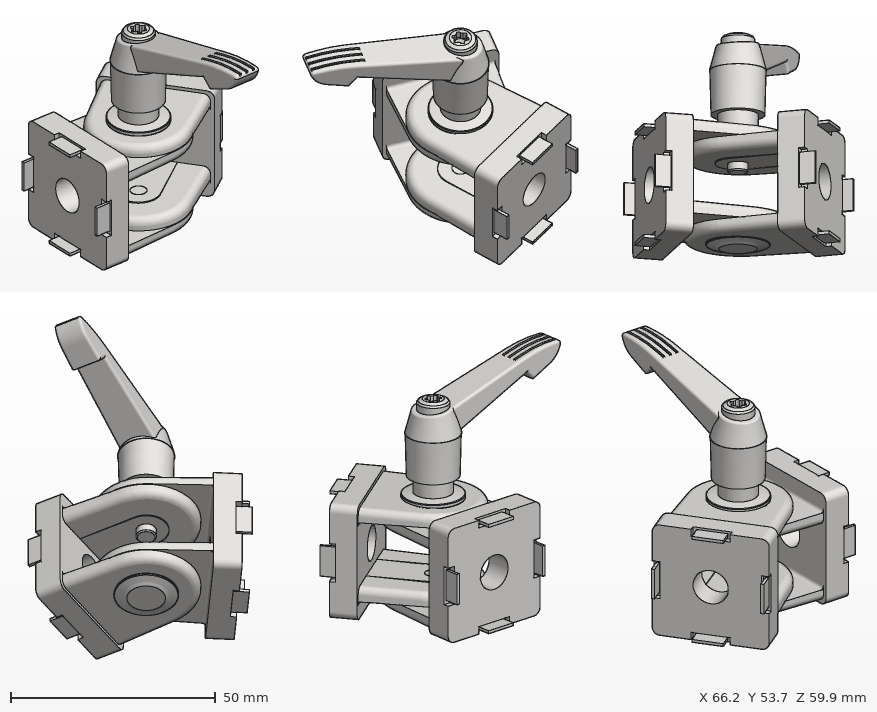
import cadquery as cq
import math


HINGE_ANGLE = 35.0
MATING_HEIGHT = 10.5
LUG_GAP = 0.2
UPPER_MATING_PLANE = MATING_HEIGHT - LUG_GAP
LOWER_MATING_PLANE = -MATING_HEIGHT
STUD_DIAMETER = 5.0
PIN_DIAMETER = 4.2

PLATE_SIZE = 30.0
PLATE_INNER = 15.5
PLATE_OUTER = 22.5
PLATE_CORNER = 2.0
PLATE_BORE = 9.0
PLATE_RISE = 0.25

TAB_END = 25.0
TAB_WIDTH = 8.0
TAB_THICKNESS = 0.8
TAB_INSET = 1.0
POCKET_WIDTH = 10.0
POCKET_BREADTH = 2 * TAB_INSET
POCKET_DEPTH = 1.5

LUG_RADIUS = 13.4
LUG_ROOT_HALF_WIDTH = 13.95
LUG_DRAFT = 0.45
UPPER_LUG_ROOT = 3.6
LOWER_LUG_ROOT = 3.3
LUG_FILLET = 1.9
ROOT_FILLET = 0.9
STRIP_WIDTH = 11.2

FLANGE_DIAMETER = 15.9
FLANGE_CHAMFER = 0.2
SEAT_HEIGHT = MATING_HEIGHT + 2.85
WASHER_RIM = 1.05
WASHER_HEIGHT = 1.45
HEAD_RIM = 0.45
CROWN_DIAMETER = 11.2
CROWN_HEIGHT = 1.0
HEAD_FACE_DIAMETER = 9.4
HEAD_HEIGHT = 1.4
PIN_TIP = -6.7

STUD_BOTTOM = 4.55
STUD_CHAMFER = 0.3
NECK_DIAMETER = 10.0
NECK_TOP = 29.1

HUB_BOTTOM = 19.1
HUB_RIDGE = 30.25
HUB_BOTTOM_DIAMETER = 13.25
HUB_WALL_TOP_DIAMETER = 13.75
HUB_RIDGE_DIAMETER = 14.0
HUB_TOP = 37.0
HUB_TOP_SLOPE = 8.4
HUB_CONE_TOP = 39.7
HUB_CONE_TOP_DIAMETER = 9.0
HUB_TOP_FILLET = 0.5

ARM_TIP = 40.05
ARM_TOP = 44.6
ARM_TOP_SLOPE = 13.6
BEND_X, BEND_Z = 28.25, 43.55
TIP_CORNER = 0.85
TIP_ARC = (38.6, 41.0)
TIP_ARC_END = (35.9, 39.2)
HEEL = (30.45, 36.9)
NOTCH = (28.1, 39.3)
UNDERSIDE_START = (0.65, 29.05)
ARM_REAR = 5.35
ARM_FRONT_AT_AXIS = 4.8
ARM_TAPER = 3.9
ARM_RIM_FILLET = 0.7

GROOVE_COUNT = 3
GROOVE_PITCH = 2.05
GROOVE_WIDTH = 0.65
GROOVE_DEPTH = 0.45
GROOVE_START = 25.7
GROOVE_END = 39.6
GROOVE_MIDDLE_Y = 1.1
GROOVE_SKEW = 2.4

SCREW_HEAD_DIAMETER = 8.2
SCREW_SEAT = 35.1
SCREW_WALL_TOP = 38.25
SCREW_SHOULDER_DIAMETER = 7.5
SCREW_SHOULDER = 38.8
SCREW_FACE_DIAMETER = 5.4
SCREW_TOP = 39.25
SCREW_SHANK = 4.2
SCREW_END = 23.8
LOBE_COUNT = 6
LOBE_CIRCLE = 3.2
LOBE_DIAMETER = 1.0
SOCKET_CORE = 3.2
SOCKET_DEPTH = 2.0


def cylinder(diameter, bottom, top):
    """Cylinder on the hinge axis."""
    return cq.Workplane("XY").workplane(offset=bottom).circle(diameter / 2).extrude(top - bottom)


def turned(profile):
    """Body of revolution about Z from (radius, height) points."""
    return cq.Workplane("XZ").polyline(profile).close().revolve(360, (0, 0), (0, 1))



def bracket_plate():
    plate = (
        cq.Workplane("XZ", origin=(0, -PLATE_INNER, PLATE_RISE))
        .rect(PLATE_SIZE, PLATE_SIZE)
        .extrude(PLATE_OUTER - PLATE_INNER)
        .edges("|Y").fillet(PLATE_CORNER)
    )
    bore = (
        cq.Workplane("XZ", origin=(0, -PLATE_INNER, PLATE_RISE))
        .circle(PLATE_BORE / 2)
        .extrude(PLATE_OUTER - PLATE_INNER)
    )
    return plate.cut(bore)


def add_tabs(plate):
    """One tab standing in an open pocket at the middle of each plate edge."""
    pocket_floor = PLATE_OUTER - POCKET_DEPTH
    offset = PLATE_SIZE / 2 - TAB_INSET
    center = (0, 0, PLATE_RISE)
    pocket = cq.Workplane("XY").box(POCKET_WIDTH, POCKET_DEPTH, POCKET_BREADTH).translate(
        (0, -pocket_floor - POCKET_DEPTH / 2, PLATE_RISE + offset)
    )
    tab_length = TAB_END - pocket_floor
    tab = cq.Workplane("XY").box(TAB_WIDTH, tab_length, TAB_THICKNESS).translate(
        (0, -pocket_floor - tab_length / 2, PLATE_RISE + offset)
    )
    for quarter in range(4):
        turn = 90 * quarter
        axis_end = (0, 1, PLATE_RISE)
        plate = plate.cut(pocket.rotate(center, axis_end, turn))
        plate = plate.union(tab.rotate(center, axis_end, turn))
    return plate


def lug_outline():
    """Plan of a lug: sides running from the plate tangentially into the round end."""
    root_angle = math.atan2(-PLATE_INNER, LUG_ROOT_HALF_WIDTH)
    root_distance = math.hypot(PLATE_INNER, LUG_ROOT_HALF_WIDTH)
    tangent_angle = root_angle + math.acos(LUG_RADIUS / root_distance)
    tangent_x = LUG_RADIUS * math.cos(tangent_angle)
    tangent_y = LUG_RADIUS * math.sin(tangent_angle)
    return (
        cq.Workplane("XY")
        .moveTo(-LUG_ROOT_HALF_WIDTH, -PLATE_INNER)
        .lineTo(LUG_ROOT_HALF_WIDTH, -PLATE_INNER)
        .lineTo(tangent_x, tangent_y)
        .threePointArc((0, LUG_RADIUS), (-tangent_x, tangent_y))
        .close()
    )


def lug(mating_plane, root_thickness):
    """Lug below its mating plane, thinner at the tip and rounded on its lower edge."""
    side = (
        cq.Workplane("YZ")
        .polyline([
            (-PLATE_INNER, mating_plane),
            (LUG_RADIUS, mating_plane),
            (LUG_RADIUS, mating_plane - root_thickness + LUG_DRAFT),
            (-PLATE_INNER, mating_plane - root_thickness),
        ])
        .close()
        .extrude(PLATE_SIZE / 2, both=True)
    )
    plan = lug_outline().extrude(root_thickness).translate((0, 0, mating_plane - root_thickness))
    body = plan.intersect(side)
    return body.faces("<Z").edges("not(<Y)").fillet(LUG_FILLET)


def lug_strip():
    """Flat strip under the upper lug, from the plate to a round end about the bore."""
    half = STRIP_WIDTH / 2
    return (
        cq.Workplane("XY").workplane(offset=UPPER_MATING_PLANE - UPPER_LUG_ROOT)
        .moveTo(-half, -PLATE_INNER)
        .lineTo(half, -PLATE_INNER)
        .lineTo(half, 0)
        .threePointArc((0, half), (-half, 0))
        .close()
        .extrude(LUG_DRAFT)
    )


def root_fillet(mating_plane):
    """Concave fillet strip where a mating face runs into the plate."""
    return (
        cq.Workplane("YZ")
        .moveTo(-PLATE_INNER, mating_plane)
        .lineTo(-PLATE_INNER + ROOT_FILLET, mating_plane)
        .radiusArc((-PLATE_INNER, mating_plane + ROOT_FILLET), ROOT_FILLET)
        .close()
        .extrude(LUG_ROOT_HALF_WIDTH, both=True)
    )


def bracket(upper_bore, lower_bore):
    """Bracket with its plate on the -Y side and both mating faces pointing up."""
    body = add_tabs(bracket_plate())
    body = body.union(lug(UPPER_MATING_PLANE, UPPER_LUG_ROOT)).union(lug_strip())
    body = body.union(lug(LOWER_MATING_PLANE, LOWER_LUG_ROOT))
    for mating_plane in (UPPER_MATING_PLANE, LOWER_MATING_PLANE):
        body = body.union(root_fillet(mating_plane))
    flange_seat = cylinder(FLANGE_DIAMETER, -SEAT_HEIGHT - LOWER_LUG_ROOT, -SEAT_HEIGHT)
    body = body.cut(flange_seat)
    body = body.cut(cylinder(upper_bore, 0, PLATE_SIZE / 2))
    return body.cut(cylinder(lower_bore, -PLATE_SIZE / 2, 0))



def clamp_washer():
    rim = FLANGE_DIAMETER / 2
    bore = STUD_DIAMETER / 2
    return turned([
        (bore, SEAT_HEIGHT),
        (rim, SEAT_HEIGHT),
        (rim, SEAT_HEIGHT + WASHER_RIM - FLANGE_CHAMFER),
        (rim - FLANGE_CHAMFER, SEAT_HEIGHT + WASHER_RIM),
        (NECK_DIAMETER / 2, SEAT_HEIGHT + WASHER_HEIGHT),
        (bore, SEAT_HEIGHT + WASHER_HEIGHT),
    ])


def hinge_pin():
    """Pin through the lower lugs with a low crowned head below them."""
    shaft = PIN_DIAMETER / 2
    rim = FLANGE_DIAMETER / 2
    return turned([
        (0, PIN_TIP),
        (shaft, PIN_TIP),
        (shaft, -SEAT_HEIGHT),
        (rim, -SEAT_HEIGHT),
        (rim, -SEAT_HEIGHT - HEAD_RIM + FLANGE_CHAMFER),
        (rim - FLANGE_CHAMFER, -SEAT_HEIGHT - HEAD_RIM),
        (CROWN_DIAMETER / 2, -SEAT_HEIGHT - CROWN_HEIGHT),
        (HEAD_FACE_DIAMETER / 2, -SEAT_HEIGHT - HEAD_HEIGHT),
        (0, -SEAT_HEIGHT - HEAD_HEIGHT),
    ])


def clamp_stud():
    """Stud through washer and upper lugs, with a thick neck that carries the lever."""
    stud = STUD_DIAMETER / 2
    neck = NECK_DIAMETER / 2
    shoulder = SEAT_HEIGHT + WASHER_HEIGHT
    body = turned([
        (0, STUD_BOTTOM),
        (stud - STUD_CHAMFER, STUD_BOTTOM),
        (stud, STUD_BOTTOM + STUD_CHAMFER),
        (stud, shoulder),
        (neck, shoulder),
        (neck, NECK_TOP),
        (0, NECK_TOP),
    ])
    return body.cut(cylinder(SCREW_SHANK, SCREW_END, NECK_TOP))



def lever_hub():
    hub = turned([
        (0, HUB_BOTTOM),
        (HUB_BOTTOM_DIAMETER / 2, HUB_BOTTOM),
        (HUB_WALL_TOP_DIAMETER / 2, HUB_RIDGE),
        (HUB_RIDGE_DIAMETER / 2, HUB_RIDGE),
        (HUB_CONE_TOP_DIAMETER / 2, HUB_CONE_TOP),
        (0, HUB_CONE_TOP),
    ])
    above_top = (
        cq.Workplane("XY")
        .rect(2 * HUB_RIDGE_DIAMETER, 2 * HUB_RIDGE_DIAMETER)
        .extrude(HUB_CONE_TOP - HUB_BOTTOM)
        .rotate((0, 0, 0), (0, 1, 0), -HUB_TOP_SLOPE)
        .translate((0, 0, HUB_TOP))
    )
    return hub.cut(above_top).faces(">Z").edges().fillet(HUB_TOP_FILLET)


def arm_top_height(x):
    """Height of the straight upper slope of the arm."""
    return BEND_Z - (BEND_X - x) * math.tan(math.radians(ARM_TOP_SLOPE))


def lever_arm():
    profile = (
        cq.Workplane("XZ", origin=(0, ARM_REAR, 0))
        .moveTo(UNDERSIDE_START[0], arm_top_height(UNDERSIDE_START[0]))
        .lineTo(BEND_X, BEND_Z)
        .tangentArcPoint((ARM_TIP - TIP_CORNER, ARM_TOP), relative=False)
        .tangentArcPoint((ARM_TIP, ARM_TOP - TIP_CORNER), relative=False)
        .threePointArc(TIP_ARC, TIP_ARC_END)
        .lineTo(*HEEL)
        .lineTo(*NOTCH)
        .lineTo(*UNDERSIDE_START)
        .close()
    )
    front_at_tip = ARM_FRONT_AT_AXIS - ARM_TIP * math.tan(math.radians(ARM_TAPER))
    plan = (
        cq.Workplane("XY")
        .polyline([
            (0, ARM_REAR),
            (ARM_TIP, ARM_REAR),
            (ARM_TIP, -front_at_tip),
            (0, -ARM_FRONT_AT_AXIS),
        ])
        .close()
        .extrude(2 * ARM_TOP)
    )
    arm = profile.extrude(2 * ARM_REAR).intersect(plan)
    return arm.edges("not(|Y)").fillet(ARM_RIM_FILLET)


def grip_grooves():
    """Shallow grooves that follow the top of the grip."""
    profile = (
        cq.Workplane("XZ", origin=(0, GROOVE_WIDTH / 2, 0))
        .moveTo(GROOVE_START, arm_top_height(GROOVE_START) - GROOVE_DEPTH)
        .lineTo(BEND_X, BEND_Z - GROOVE_DEPTH)
        .tangentArcPoint((GROOVE_END, ARM_TOP - GROOVE_DEPTH), relative=False)
        .lineTo(GROOVE_END, ARM_TOP + GROOVE_DEPTH)
        .lineTo(GROOVE_START, ARM_TOP + GROOVE_DEPTH)
        .close()
    )
    groove = profile.extrude(GROOVE_WIDTH).rotate(
        (GROOVE_START, 0, 0), (GROOVE_START, 0, 1), GROOVE_SKEW
    )
    first = GROOVE_MIDDLE_Y - GROOVE_PITCH * (GROOVE_COUNT - 1) / 2
    return [groove.translate((0, first + GROOVE_PITCH * i, 0)) for i in range(GROOVE_COUNT)]


def lever():
    body = lever_hub().union(lever_arm())
    for groove in grip_grooves():
        body = body.cut(groove)
    body = body.cut(cylinder(NECK_DIAMETER, HUB_BOTTOM, NECK_TOP))
    body = body.cut(cylinder(SCREW_SHANK, NECK_TOP, SCREW_SEAT))
    return body.cut(cylinder(SCREW_HEAD_DIAMETER, SCREW_SEAT, HUB_CONE_TOP))


def lever_screw():
    """Screw with a crowned head and a six-lobe socket."""
    shank = SCREW_SHANK / 2
    head = SCREW_HEAD_DIAMETER / 2
    screw = turned([
        (0, SCREW_END),
        (shank, SCREW_END),
        (shank, SCREW_SEAT),
        (head, SCREW_SEAT),
        (head, SCREW_WALL_TOP),
        (SCREW_SHOULDER_DIAMETER / 2, SCREW_SHOULDER),
        (SCREW_FACE_DIAMETER / 2, SCREW_TOP),
        (0, SCREW_TOP),
    ])
    floor = SCREW_TOP - SOCKET_DEPTH
    core = SOCKET_CORE / 2
    screw = screw.cut(turned([(0, floor - core), (core, floor), (core, SCREW_TOP), (0, SCREW_TOP)]))
    lobes = (
        cq.Workplane("XY").workplane(offset=floor)
        .polarArray(LOBE_CIRCLE / 2, 90, 360, LOBE_COUNT)
        .circle(LOBE_DIAMETER / 2)
        .extrude(SOCKET_DEPTH)
    )
    return screw.cut(lobes)


front_bracket = bracket(upper_bore=STUD_DIAMETER, lower_bore=PIN_DIAMETER)
rear_bracket = (
    bracket(upper_bore=PIN_DIAMETER, lower_bore=STUD_DIAMETER)
    .rotate((0, 0, 0), (1, 0, 0), 180)
    .rotate((0, 0, 0), (0, 0, 1), HINGE_ANGLE)
)

result = cq.Compound.makeCompound([
    front_bracket.val(),
    rear_bracket.val(),
    clamp_washer().val(),
    hinge_pin().val(),
    clamp_stud().val(),
    lever().val(),
    lever_screw().val(),
])